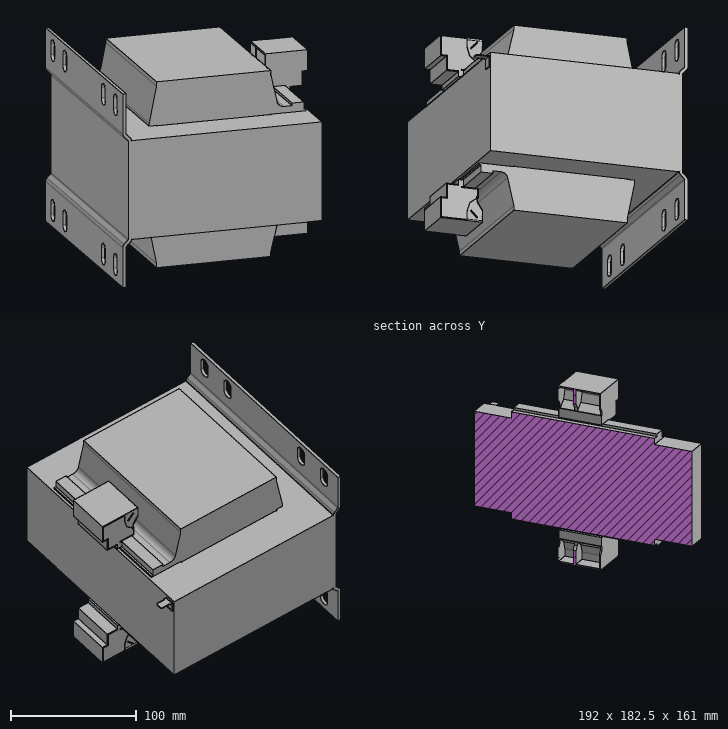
import cadquery as cq
import math


width = 192.0
depth = 182.5
height = 161.0

plate_thickness = 2.9
plate_offset = 4.6
flange_bend_z = 45.7
bend_inner_radius = 1.0
slot_width = 9.0
slot_length = 17.7
slot_z = 66.5
slot_x_positions = (47.8, 77.8)

core_front = plate_offset + plate_thickness
core_depth = 160.0
core_rear = core_front + core_depth
core_top = 41.0
core_limb = width / 6
window_front = core_front + core_limb
window_rear = window_front + width / 2
window_outer_x = width / 2 - core_limb

coil_half_width = 63.2
coil_top = 77.4
coil_shoulder_z = 73.7
coil_flank_front = 33.2
coil_flank_foot_z = 43.2
coil_ledge_z = 46.5
coil_flank_rear = 141.9
coil_ledge_radius = 5.8

rail_front = 153.2
rail_rear = 163.4
rail_top = 48.5
former_rear = 165.1
former_top = 42.6

block_edges_x = (-22.7, -7.5, 15.5)
block_top = 76.5
block_front = 147.0
block_front_z = 66.5
block_bottom = 47.0
block_waist = 151.5
block_waist_z = 59.7
block_foot_front = 150.7
block_foot_z = 56.5
block_back_step = 177.8
block_back_step_z = 59.0
block_seat_rear = 164.4
clip_rear = 167.8
clip_bottom = 43.0

entry_roof_z = 74.9
entry_back = 160.3
entry_bend_z = 68.7
entry_floor_back = 158.0
entry_floor_z = 61.5
entry_wall = 1.3

cover_thickness = 0.4
cover_inset = 0.8
mark_width = 0.8
mark_length = 7.7
mark_y = 154.4
mark_z = 70.5
mark_angle = 45.0

tab_x = -90.5
tab_sheet = 0.8
tab_base_width = 8.0
tab_tip_width = 6.5
tab_top = 38.8
tab_leg_bottom = 29.5
tab_shoulder_y = 170.3
tab_tip_y = 178.5
tab_tip_chamfer = 0.8


def box(x_range, y_range, z_range):
    """Axis-aligned block given by its limits."""
    limits = (x_range, y_range, z_range)
    sizes = [high - low for low, high in limits]
    corner = tuple(low for low, high in limits)
    return cq.Workplane("XY").box(*sizes, centered=False).translate(corner)


def extrude_along_x(points, x_start, x_end):
    """Closed (Y, Z) outline extruded between two X positions."""
    outline = cq.Workplane("YZ", origin=(x_start, 0, 0)).polyline(points).close()
    return outline.extrude(x_end - x_start)


def mirrored_in_z(shape):
    """The shape together with its mirror image below Z = 0."""
    return shape.union(shape.mirror("XY"))


def make_mounting_plate():
    miter = plate_thickness * math.tan(math.radians(45 / 2))
    slope_end_z = flange_bend_z - plate_offset
    inner_end_z = slope_end_z + miter
    inner_start_z = flange_bend_z + miter
    upper_half = [
        (0, height / 2),
        (0, flange_bend_z),
        (plate_offset, slope_end_z),
        (plate_offset, 0),
        (core_front, 0),
        (core_front, inner_end_z),
        (plate_thickness, inner_start_z),
        (plate_thickness, height / 2),
    ]
    flange = extrude_along_x(upper_half, -width / 2, width / 2)

    outer_radius = bend_inner_radius + plate_thickness
    rounded_corners = (
        (0, flange_bend_z, outer_radius),
        (plate_offset, slope_end_z, bend_inner_radius),
        (core_front, inner_end_z, outer_radius),
        (plate_thickness, inner_start_z, bend_inner_radius),
    )
    for y, z, radius in rounded_corners:
        flange = flange.edges(cq.selectors.NearestToPointSelector((0, y, z))).fillet(radius)

    plate = mirrored_in_z(flange)
    slot_centers = [
        (side_x * x, side_z * slot_z)
        for x in slot_x_positions
        for side_x in (-1, 1)
        for side_z in (-1, 1)
    ]
    slots = (
        cq.Workplane("XZ")
        .pushPoints(slot_centers)
        .slot2D(slot_length, slot_width, 90)
        .extrude(-plate_thickness)
    )
    return plate.cut(slots)


def make_core():
    core = box((-width / 2, width / 2), (core_front, core_rear), (-core_top, core_top))
    gap = box(
        (coil_half_width, window_outer_x),
        (window_front, window_rear),
        (-core_top, core_top),
    )
    return core.cut(gap).cut(gap.mirror("YZ"))


def make_upper_coil():
    profile = [
        (coil_flank_front, core_top),
        (coil_flank_front, coil_flank_foot_z),
        (window_front, coil_shoulder_z),
        (window_front, coil_top),
        (window_rear, coil_top),
        (window_rear, coil_shoulder_z),
        (coil_flank_rear, coil_ledge_z),
        (rail_front, coil_ledge_z),
        (rail_front, core_top),
    ]
    coil = extrude_along_x(profile, -coil_half_width, coil_half_width)
    ledge_corner = cq.selectors.NearestToPointSelector((0, coil_flank_rear, coil_ledge_z))
    coil = coil.edges(ledge_corner).fillet(coil_ledge_radius)

    coil_span = (-coil_half_width, coil_half_width)
    rail = box(coil_span, (rail_front, rail_rear), (core_top, rail_top))
    former = box(coil_span, (rail_front, former_rear), (core_top, former_top))
    return coil.union(rail).union(former)


block_profile = [
    (block_front, block_top),
    (depth, block_top),
    (depth, block_back_step_z),
    (block_back_step, block_back_step_z),
    (block_back_step, block_bottom),
    (block_seat_rear, block_bottom),
    (block_seat_rear, rail_top),
    (block_foot_front, rail_top),
    (block_foot_front, block_foot_z),
    (block_waist, block_foot_z),
    (block_waist, block_waist_z),
    (block_front, block_front_z),
]


def entry_outline(roof_z):
    """Wire entry: open at the front, with a floor sloping down to the front lip."""
    return [
        (block_front, roof_z),
        (entry_back, roof_z),
        (entry_back, entry_bend_z),
        (entry_floor_back, entry_floor_z),
        (block_waist, block_foot_z),
        (block_front, block_foot_z),
    ]


def make_upper_terminals():
    row_start = block_edges_x[0]
    row_end = block_edges_x[-1]
    terminals = extrude_along_x(block_profile, row_start + cover_thickness, row_end)
    for left, right in zip(block_edges_x, block_edges_x[1:]):
        entry = extrude_along_x(entry_outline(entry_roof_z), left + entry_wall, right - entry_wall)
        terminals = terminals.cut(entry)

    clip = box((row_start, row_end), (rail_rear, clip_rear), (clip_bottom, rail_top))

    cover = (
        cq.Workplane("YZ", origin=(row_start, 0, 0))
        .polyline(block_profile)
        .close()
        .offset2D(-cover_inset, "intersection")
        .extrude(cover_thickness)
    )
    bare_cheek = extrude_along_x(entry_outline(block_top), row_start, row_start + cover_thickness)
    mark = (
        cq.Workplane("YZ", origin=(row_start, mark_y, mark_z))
        .transformed(rotate=(0, 0, mark_angle))
        .rect(mark_width, mark_length)
        .extrude(cover_thickness)
    )
    return terminals.union(clip).union(cover.cut(bare_cheek)).union(mark)


def make_earth_tab():
    base_x = (tab_x - tab_base_width / 2, tab_x + tab_base_width / 2)
    tip_x = (tab_x - tab_tip_width / 2, tab_x + tab_tip_width / 2)
    sheet_z = (tab_top - tab_sheet, tab_top)
    leg = box(base_x, (core_rear, core_rear + tab_sheet), (tab_leg_bottom, tab_top))
    base = box(base_x, (core_rear, tab_shoulder_y), sheet_z)
    tip = box(tip_x, (core_rear, tab_tip_y), sheet_z)
    tip = tip.edges("|Z and >Y").chamfer(tab_tip_chamfer)
    return leg.union(base).union(tip)


result = (
    make_core()
    .union(make_mounting_plate())
    .union(mirrored_in_z(make_upper_coil()))
    .union(mirrored_in_z(make_upper_terminals()))
    .union(make_earth_tab())
)